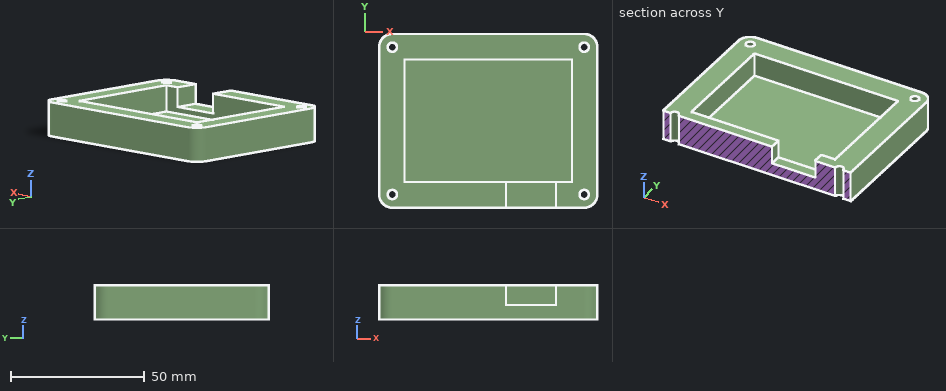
import cadquery as cq

length = 81.91
width = 65.24
height = 13.0
corner_radius = 5.0

rim_width = 9.6
floor_thickness = 3.0
pocket_length = length - 2 * rim_width
pocket_width = width - 2 * rim_width

notch_length = 18.7
notch_depth = 7.5
notch_to_pocket_side = 6.0

hole_diameter = 3.4
hole_spacing_x = length - 2 * corner_radius
hole_spacing_y = width - 2 * corner_radius


def make_block():
    """Plate with rounded vertical corners, standing on Z = 0."""
    block = cq.Workplane("XY").box(length, width, height, centered=(True, True, False))
    return block.edges("|Z").fillet(corner_radius)


def make_pocket():
    """Volume of the pocket, from its floor up to the top face."""
    pocket_depth = height - floor_thickness
    return (
        cq.Workplane("XY")
        .workplane(offset=floor_thickness)
        .box(pocket_length, pocket_width, pocket_depth, centered=(True, True, False))
    )


def make_notch():
    """Volume of the notch, from the outer front face into the pocket."""
    notch_right = pocket_length / 2 - notch_to_pocket_side
    return (
        cq.Workplane("XY")
        .workplane(offset=height - notch_depth)
        .box(notch_length, rim_width, notch_depth, centered=False)
        .translate((notch_right - notch_length, -width / 2, 0))
    )


def make_corner_holes():
    """Four through-hole cylinders at the corners."""
    return (
        cq.Workplane("XY")
        .rect(hole_spacing_x, hole_spacing_y, forConstruction=True)
        .vertices()
        .circle(hole_diameter / 2)
        .extrude(height)
    )


result = make_block().cut(make_pocket()).cut(make_notch()).cut(make_corner_holes())